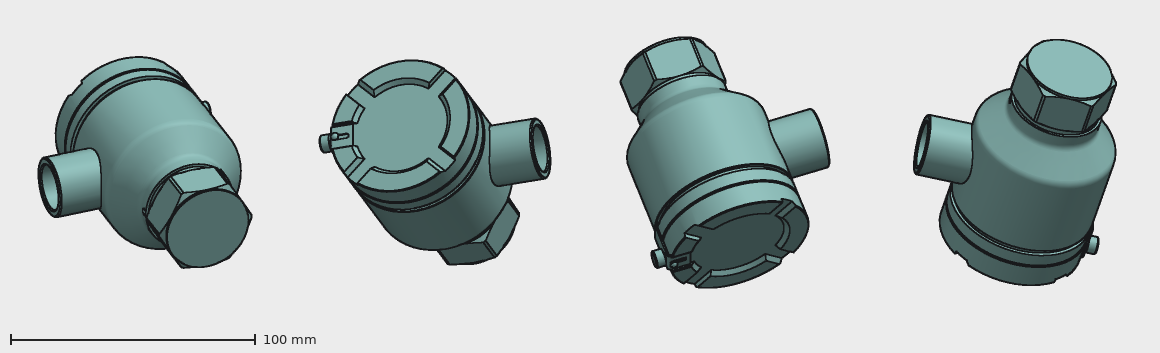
import cadquery as cq
import math


body_radius = 30.0
cover_length = 16.7
cover_chamfer = 0.4
seam_start = 10.3
seam_width = 0.75
seam_depth = 0.3
groove_end = 19.0
groove_radius = 28.4
body_edge_chamfer = 0.3
shoulder_start = 53.4
shoulder_fillet = 4.3
collar_radius = 19.1
collar_fillet = 3.8
collar_end = 72.1
spigot_radius = 17.9
part_end = 92.3

nut_start = 74.2
nut_end = 91.15
nut_corner_radius = 20.4
nut_chamfer_angle = 30

recess_depth = 1.9
recess_floor_radius = 19.8
slot_floor_width = 6.2
slot_steep_run = 0.4
clip_notch_width = 10.6
clip_notch_chamfer = 0.5

tube_x = 37.7
tube_radius = 12.5
tube_end_y = -47.8
tube_chamfer = 0.6
bore_radius = 9.4

pilot_x = 70.1
pilot_radius = 0.9
pilot_depth = 4.2
pilot_counterbore_radius = 1.5
pilot_counterbore_depth = 2.3

clip_width = 10.1
clip_thickness = 0.75
clip_front_x = recess_depth - clip_thickness
clip_rear_x = 18.3
clip_top_y = 30.6
clip_front_end_y = 20.8
clip_rear_end_y = 28.4
clip_bend_radius = 1.2
clip_slot_width = 2.15
clip_slot_end_y = 22.7
dome_radius = 1.7
dome_protrusion = 1.1
dome_y = 28.4
dome_height = 1.3
dome_shank_radius = 1.0
dome_shank_end_x = 2.2
thumb_x = 4.9
thumb_head_radius = 3.6
thumb_head_start_y = 31.4
thumb_head_end_y = 35.5
thumb_chamfer = 0.6
thumb_shank_radius = 1.7
thumb_shank_start_y = 28.0


def make_housing():
    """Cover, body, 45 degree shoulder, collar and spigot as one revolved profile."""
    diagonal = math.sqrt(0.5)
    outer_run = shoulder_fillet * diagonal
    outer_drop = shoulder_fillet - outer_run
    inner_run = collar_fillet * diagonal
    inner_rise = collar_fillet - inner_run
    cone_start_x = shoulder_start + outer_run
    cone_start_radius = body_radius - outer_drop
    cone_end_radius = collar_radius + inner_rise
    cone_end_x = cone_start_x + cone_start_radius - cone_end_radius
    half_angle = math.radians(45 / 2)
    outer_mid = (
        shoulder_start + shoulder_fillet * math.sin(half_angle),
        body_radius - shoulder_fillet * (1 - math.cos(half_angle)),
    )
    collar_start = cone_end_x + inner_run
    inner_mid = (
        collar_start - collar_fillet * math.sin(half_angle),
        collar_radius + collar_fillet * (1 - math.cos(half_angle)),
    )
    profile = (
        cq.Workplane("XY")
        .moveTo(0, 0)
        .lineTo(0, body_radius - cover_chamfer)
        .lineTo(cover_chamfer, body_radius)
        .lineTo(seam_start, body_radius)
        .lineTo(seam_start, body_radius - seam_depth)
        .lineTo(seam_start + seam_width, body_radius - seam_depth)
        .lineTo(seam_start + seam_width, body_radius)
        .lineTo(cover_length, body_radius)
        .lineTo(cover_length, groove_radius)
        .lineTo(groove_end, groove_radius)
        .lineTo(groove_end, body_radius - body_edge_chamfer)
        .lineTo(groove_end + body_edge_chamfer, body_radius)
        .lineTo(shoulder_start, body_radius)
        .threePointArc(outer_mid, (cone_start_x, cone_start_radius))
        .lineTo(cone_end_x, cone_end_radius)
        .threePointArc(inner_mid, (collar_start, collar_radius))
        .lineTo(collar_end, collar_radius)
        .lineTo(collar_end, spigot_radius)
        .lineTo(part_end, spigot_radius)
        .lineTo(part_end, 0)
        .close()
    )
    return profile.revolve(360, (0, 0, 0), (1, 0, 0))


def make_nut():
    """Hexagon with flats at +-Z, its corners turned down and chamfered at both ends."""
    across_corners = 2 * spigot_radius / math.cos(math.pi / 6)
    hexagon = (
        cq.Workplane("YZ", origin=(nut_start, 0, 0))
        .polygon(6, across_corners)
        .extrude(nut_end - nut_start)
    )
    chamfer_length = (nut_corner_radius - spigot_radius) * math.tan(math.radians(nut_chamfer_angle))
    envelope = (
        cq.Workplane("XY")
        .moveTo(nut_start, 0)
        .lineTo(nut_start, spigot_radius)
        .lineTo(nut_start + chamfer_length, nut_corner_radius)
        .lineTo(nut_end - chamfer_length, nut_corner_radius)
        .lineTo(nut_end, spigot_radius)
        .lineTo(nut_end, 0)
        .close()
        .revolve(360, (0, 0, 0), (1, 0, 0))
    )
    return hexagon.intersect(envelope)


def make_tube():
    """Conduit tube on the -Y side, its bore ending on the body surface."""
    tube = (
        cq.Workplane("XZ", origin=(tube_x, 0, 0))
        .circle(tube_radius)
        .extrude(-tube_end_y)
        .faces("<Y")
        .edges()
        .chamfer(tube_chamfer)
    )
    bore = (
        cq.Workplane("XZ", origin=(tube_x, tube_end_y, 0))
        .circle(bore_radius)
        .extrude(tube_end_y)
    )
    mouth = cq.Workplane(
        cq.Solid.makeCone(
            bore_radius + tube_chamfer,
            bore_radius,
            tube_chamfer,
            cq.Vector(tube_x, tube_end_y, 0),
            cq.Vector(0, 1, 0),
        )
    )
    return tube.cut(bore).cut(mouth)


def radial_cutter(section):
    """Prism of the given (x, z) section, running from the X axis out past the cover along +Y."""
    return cq.Workplane("XZ").polyline(section).close().extrude(-2 * body_radius)


def diagonal_slot():
    """Slot cutter with one wall sloping at 45 degrees and one nearly upright."""
    half = slot_floor_width / 2
    return radial_cutter(
        [
            (recess_depth, -half),
            (recess_depth, half),
            (0, half + recess_depth),
            (0, -half - slot_steep_run),
        ]
    )


def clip_notch():
    """Upright notch cutter with chamfered upper edges."""
    half = clip_notch_width / 2
    return radial_cutter(
        [
            (recess_depth, -half),
            (recess_depth, half),
            (clip_notch_chamfer, half),
            (0, half + clip_notch_chamfer),
            (0, -half - clip_notch_chamfer),
            (clip_notch_chamfer, -half),
        ]
    )


def cut_cover_recess(housing):
    """Conical central recess with four diagonal slots and the notch for the clip."""
    recess = cq.Workplane(
        cq.Solid.makeCone(
            recess_floor_radius + recess_depth,
            recess_floor_radius,
            recess_depth,
            cq.Vector(0, 0, 0),
            cq.Vector(1, 0, 0),
        )
    )
    housing = housing.cut(recess)
    for angle in (45, 135, 225, 315):
        housing = housing.cut(diagonal_slot().rotate((0, 0, 0), (1, 0, 0), angle))
    return housing.cut(clip_notch())


def cut_pilot_hole(housing):
    """Counterbored blind hole on the -Y side of the collar."""
    entry = cq.Workplane("XZ", origin=(pilot_x, -collar_radius, 0))
    hole = entry.circle(pilot_radius).extrude(-pilot_depth)
    counterbore = entry.circle(pilot_counterbore_radius).extrude(-pilot_counterbore_depth)
    return housing.cut(hole).cut(counterbore)


def make_clip():
    """Bent strip over the +Y side of the cover, slotted on its front leg."""
    inner_bend = clip_bend_radius - clip_thickness
    strip = (
        cq.Workplane("XY")
        .moveTo(clip_front_x, clip_front_end_y)
        .lineTo(clip_front_x, clip_top_y)
        .lineTo(clip_rear_x, clip_top_y)
        .lineTo(clip_rear_x, clip_rear_end_y)
        .lineTo(clip_rear_x - clip_thickness, clip_rear_end_y)
        .lineTo(clip_rear_x - clip_thickness, clip_top_y - clip_thickness)
        .lineTo(clip_front_x + clip_thickness, clip_top_y - clip_thickness)
        .lineTo(clip_front_x + clip_thickness, clip_front_end_y)
        .close()
        .extrude(clip_width / 2, both=True)
    )
    inner_corners = cq.selectors.BoxSelector(
        (clip_front_x + clip_thickness / 2, clip_rear_end_y + clip_thickness, -clip_width),
        (clip_rear_x - clip_thickness / 2, clip_top_y - clip_thickness / 2, clip_width),
    )
    clip = strip.edges("|Z").edges(inner_corners).fillet(inner_bend)
    clip = clip.edges("|Z and >Y").fillet(clip_bend_radius)
    slot_length = dome_y - clip_slot_end_y + clip_slot_width / 2
    slot = (
        cq.Workplane("YZ", origin=(clip_front_x, clip_slot_end_y + slot_length / 2, 0))
        .slot2D(slot_length, clip_slot_width)
        .extrude(clip_thickness)
    )
    return clip.cut(slot)


def make_dome_screw():
    """Screw through the clip slot, its domed head standing proud of the cover face."""
    cap_radius = (dome_radius**2 + dome_height**2) / (2 * dome_height)
    head_back_x = dome_height - dome_protrusion
    return (
        cq.Workplane("XY")
        .moveTo(-dome_protrusion, 0)
        .radiusArc((head_back_x, dome_radius), cap_radius)
        .lineTo(head_back_x, dome_shank_radius)
        .lineTo(dome_shank_end_x, dome_shank_radius)
        .lineTo(dome_shank_end_x, 0)
        .close()
        .revolve(360, (0, 0, 0), (1, 0, 0))
        .translate((0, dome_y, 0))
    )


def make_thumb_screw():
    """Round screw head standing off the clip on a shank that reaches into the cover."""
    shank = (
        cq.Workplane("XZ", origin=(thumb_x, thumb_shank_start_y, 0))
        .circle(thumb_shank_radius)
        .extrude(thumb_shank_start_y - thumb_head_start_y)
    )
    head = (
        cq.Workplane("XZ", origin=(thumb_x, thumb_head_start_y, 0))
        .circle(thumb_head_radius)
        .extrude(thumb_head_start_y - thumb_head_end_y)
        .faces(">Y")
        .edges()
        .chamfer(thumb_chamfer)
    )
    return shank.union(head)


housing = cut_pilot_hole(cut_cover_recess(make_housing()))
body_core = (
    cq.Workplane("YZ", origin=(groove_end, 0, 0))
    .circle(body_radius)
    .extrude(shoulder_start - groove_end)
)
result = (
    housing.union(make_tube().cut(body_core))
    .union(make_nut())
    .union(make_clip())
    .union(make_dome_screw())
    .union(make_thumb_screw())
)